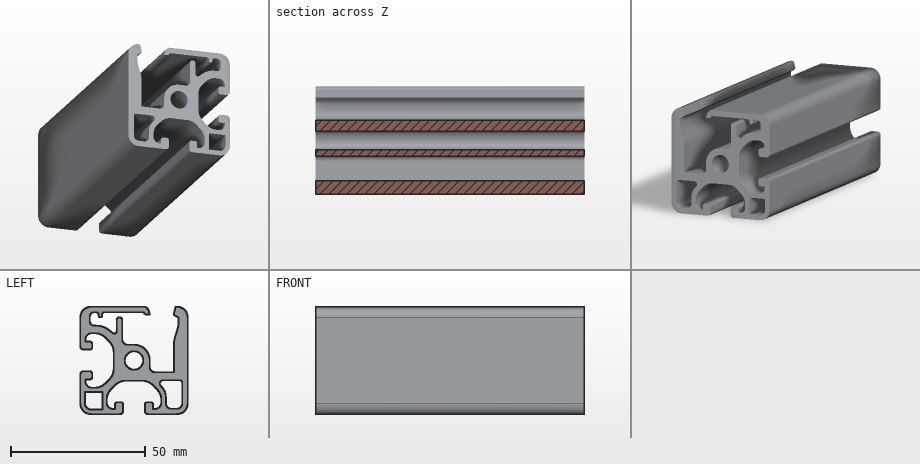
import cadquery as cq
import math

LENGTH = 100
SIDE = 40
HALF = SIDE / 2
CORNER_RADIUS = 4
BORE_DIAMETER = 6.8
CUT_MARGIN = 1
TOUCHING = 0.001

SLOT_HALF_MOUTH = 4
SLOT_LIP_HALF = 7.1
SLOT_HALF_WIDTH = 10.1
SLOT_LIP_HEIGHT = 4.5
SLOT_FACE_WALL = 2
SLOT_DEPTH = 12.4
SLOT_CHAMFER = 4.7
SLOT_CHAMFER_ROUNDING = 5.4
SLOT_HEEL_RADIUS = 2.3
LIP_MOUTH_RADIUS = 1.2
LIP_INNER_RADIUS = 0.9

SQUARE_WALL = 1.8
SQUARE_SIZE = 6.4
SQUARE_RADIUS = CORNER_RADIUS - SQUARE_WALL

CHAMBER_WALL = 2.1
CHAMBER_TOP = -7.4
CHAMBER_SLOT_SIDE = -11.9
CHAMBER_BEND_Z = -11.4
CHAMBER_FOOT_RADIUS = 1.9
CHAMBER_TOP_RADIUS = 0.9
CHAMBER_TIP_RADIUS = 1.2

ROOF_WALL = 2.1
DUCT_ROOF = HALF - ROOF_WALL
DUCT_LEFT = 16.4
DUCT_LEFT_RADIUS = 1.6
SHELF_Z = 13
SHELF_BEND_Y = 11.4
SHELF_BEND_RADIUS = 8
VALLEY_Y = 7.6
VALLEY_Z = 10
VALLEY_RADIUS = 0.8
DUCT_FLOOR = -4.3
DUCT_FLOOR_RADIUS = 1.8
DUCT_RIGHT = -14.8

KEY_Y = 12.5
KEY_TIP = 16
KEY_ROOT_HALF_WIDTH = 0.8
KEY_TIP_RADIUS = 0.6
KEY_ROOT_RADIUS = 0.8

RIB_LEFT = 6.5
RIB_RIGHT = 4.3
RIB_TOP = 16.1
RIB_TIP_RADIUS = (RIB_LEFT - RIB_RIGHT) / 2

BOSS_RADIUS = 5.9

HOOK_Z = 17
ROOF_LIP_TOP_Y = -4.2
ROOF_LIP_END_Y = -5.9
ROOF_LIP_SHOULDER = (-5.5, 18.9)
ROOF_LIP_SHOULDER_RADIUS = 2.5
ROOF_LIP_FOOT_Y = -4.3
ROOF_LIP_STEP_Y = -3.5
WALL_HOOK_TOP_Y = -15.4
WALL_HOOK_TIP_Y = -14.7
WALL_HOOK_HEEL_Z = 15.9
WALL_RECESS_Y = -16.5
WALL_RECESS_RADIUS = 0.6
WALL_BEND_LOW_Z = 7.3
WALL_BEND_HIGH_Z = 12.8
WALL_BEND_RADIUS = 10


def rounded_corner(before, corner, after, radius):
    """Start, middle and end of the arc that rounds one corner of a polygon."""
    before_dist = math.dist(corner, before)
    after_dist = math.dist(corner, after)
    to_before = [(b - c) / before_dist for b, c in zip(before, corner)]
    to_after = [(a - c) / after_dist for a, c in zip(after, corner)]
    cosine = sum(b * a for b, a in zip(to_before, to_after))
    half_angle = math.acos(cosine) / 2
    tangent = radius / math.tan(half_angle)
    bisector = [b + a for b, a in zip(to_before, to_after)]
    reach = (radius / math.sin(half_angle) - radius) / math.hypot(*bisector)
    start = tuple(c + tangent * d for c, d in zip(corner, to_before))
    middle = tuple(c + reach * d for c, d in zip(corner, bisector))
    end = tuple(c + tangent * d for c, d in zip(corner, to_after))
    return start, middle, end


def prism(corners):
    """Full-length prism from (y, z, corner radius) points; radius 0 keeps a sharp corner."""
    outline = []
    for i, (y, z, radius) in enumerate(corners):
        before = corners[i - 1][:2]
        after = corners[(i + 1) % len(corners)][:2]
        if radius:
            outline.append(rounded_corner(before, (y, z), after, radius))
        else:
            outline.append([(y, z)])

    position = outline[-1][-1]
    sketch = cq.Workplane("YZ").moveTo(*position)
    for start, *arc in outline:
        if math.dist(position, start) > TOUCHING:
            sketch = sketch.lineTo(*start)
        if arc:
            sketch = sketch.threePointArc(*arc)
        position = arc[-1] if arc else start
    return sketch.close().extrude(LENGTH / 2, both=True)


def bottom_slot():
    """Cutter for the undercut slot in the -Z side."""
    face = -HALF
    lip_z = face + SLOT_LIP_HEIGHT
    wall_z = face + SLOT_FACE_WALL
    top_z = face + SLOT_DEPTH
    flare_y = SLOT_HALF_MOUTH + 2 * LIP_MOUTH_RADIUS
    undercut = [
        (SLOT_LIP_HALF, wall_z, 0),
        (SLOT_HALF_WIDTH, wall_z, SLOT_HEEL_RADIUS),
        (SLOT_HALF_WIDTH, top_z - SLOT_CHAMFER, SLOT_CHAMFER_ROUNDING),
        (SLOT_HALF_WIDTH - SLOT_CHAMFER, top_z, SLOT_CHAMFER_ROUNDING),
    ]
    lip = [
        (flare_y, face - CUT_MARGIN, 0),
        (flare_y, face, 0),
        (SLOT_HALF_MOUTH, face, LIP_MOUTH_RADIUS),
        (SLOT_HALF_MOUTH, lip_z, LIP_INNER_RADIUS),
        (SLOT_LIP_HALF, lip_z, LIP_INNER_RADIUS),
    ]
    right = lip + undercut
    left = [(-y, z, radius) for y, z, radius in reversed(right)]
    return prism(right + left)


def square_chamber():
    """Cutter for the square chamber, rounded beside the outer corner."""
    outer = HALF - SQUARE_WALL
    inner = outer - SQUARE_SIZE
    return prism([
        (outer, -inner, 0),
        (outer, -outer, SQUARE_RADIUS),
        (inner, -outer, 0),
        (inner, -inner, 0),
    ])


def slanted_chamber():
    """Cutter for the chamber whose 45 degree side runs along the bottom slot."""
    outer = -HALF + CHAMBER_WALL
    tip_y = CHAMBER_SLOT_SIDE + CHAMBER_TOP - CHAMBER_BEND_Z
    return prism([
        (tip_y, CHAMBER_TOP, CHAMBER_TIP_RADIUS),
        (outer, CHAMBER_TOP, CHAMBER_TOP_RADIUS),
        (outer, outer, CHAMBER_FOOT_RADIUS),
        (CHAMBER_SLOT_SIDE, outer, CHAMBER_FOOT_RADIUS),
        (CHAMBER_SLOT_SIDE, CHAMBER_BEND_Z, SLOT_CHAMFER_ROUNDING),
    ])


def duct():
    """Cutter for the large duct, walked from the roof lip around to the wall hook."""
    roof = [
        (ROOF_LIP_TOP_Y, HALF + CUT_MARGIN, 0),
        (ROOF_LIP_TOP_Y, HALF, 0),
        (*ROOF_LIP_SHOULDER, ROOF_LIP_SHOULDER_RADIUS),
        (ROOF_LIP_END_Y, HOOK_Z, 0),
        (ROOF_LIP_FOOT_Y, HOOK_Z, 0),
        (ROOF_LIP_STEP_Y, DUCT_ROOF, 0),
    ]
    key = [
        (KEY_Y - KEY_ROOT_HALF_WIDTH, DUCT_ROOF, KEY_ROOT_RADIUS),
        (KEY_Y - KEY_TIP_RADIUS, KEY_TIP, KEY_TIP_RADIUS),
        (KEY_Y + KEY_TIP_RADIUS, KEY_TIP, KEY_TIP_RADIUS),
        (KEY_Y + KEY_ROOT_HALF_WIDTH, DUCT_ROOF, KEY_ROOT_RADIUS),
    ]
    channel = [
        (DUCT_LEFT, DUCT_ROOF, DUCT_LEFT_RADIUS),
        (DUCT_LEFT, SHELF_Z, DUCT_LEFT_RADIUS),
        (SHELF_BEND_Y, SHELF_Z, SHELF_BEND_RADIUS),
        (VALLEY_Y, VALLEY_Z, VALLEY_RADIUS),
        (RIB_LEFT, VALLEY_Z, VALLEY_RADIUS),
    ]
    rib_and_boss = [
        (RIB_LEFT, RIB_TOP, RIB_TIP_RADIUS),
        (RIB_RIGHT, RIB_TOP, RIB_TIP_RADIUS),
        (RIB_RIGHT, BOSS_RADIUS, DUCT_FLOOR_RADIUS),
        (-BOSS_RADIUS, BOSS_RADIUS, BOSS_RADIUS),
        (-BOSS_RADIUS, DUCT_FLOOR, DUCT_FLOOR_RADIUS),
        (DUCT_RIGHT, DUCT_FLOOR, 0),
    ]
    wall = [
        (DUCT_RIGHT, WALL_BEND_LOW_Z, WALL_BEND_RADIUS),
        (WALL_RECESS_Y, WALL_BEND_HIGH_Z, WALL_BEND_RADIUS),
        (WALL_RECESS_Y, WALL_HOOK_HEEL_Z, WALL_RECESS_RADIUS),
        (WALL_HOOK_TIP_Y, HOOK_Z, 0),
        (WALL_HOOK_TOP_Y, HALF, 0),
        (WALL_HOOK_TOP_Y, HALF + CUT_MARGIN, 0),
    ]
    return prism(roof + key + channel + rib_and_boss + wall)


body = cq.Workplane("YZ").rect(SIDE, SIDE).extrude(LENGTH / 2, both=True)
body = body.edges("|X").fillet(CORNER_RADIUS)

bore = cq.Workplane("YZ").circle(BORE_DIAMETER / 2).extrude(LENGTH / 2, both=True)
side_slot = bottom_slot().rotate((0, 0, 0), (1, 0, 0), 90)

result = body
for cutter in (bore, bottom_slot(), side_slot, square_chamber(), slanted_chamber(), duct()):
    result = result.cut(cutter)